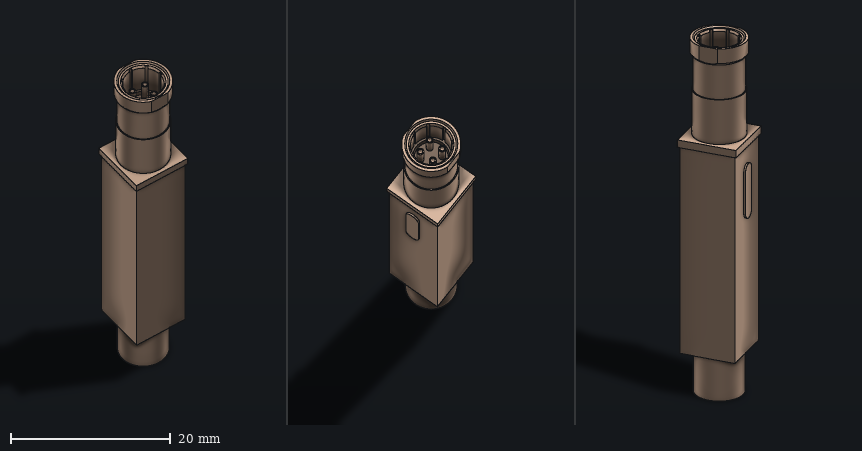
import cadquery as cq

total_height = 48.9
cable_length = 6.0
body_length = 28.55
flange_thickness = 1.05
sleeve_length = 6.15
collar_straight = 2.0
collar_taper = 0.4

body_width = 7.55
flange_width = 8.0
cable_radius = 3.3
sleeve_radius = 3.45
neck_radius = 3.33
collar_radius = 3.7
collar_flat_width = 7.0

mouth_radius = 3.33
mouth_step_radius = 3.15
mouth_step_depth = 0.2
insert_radius = 2.85
insert_taper_depth = 0.5
bore_radius = 2.6
bore_depth = 4.4
floor_rim_radius = 2.3
floor_radius = 2.15
floor_recess = 0.5

groove_count = 8
groove_width = 0.4
groove_reach = 2.8

contact_offset = 1.0
contact_radius = 0.45
contact_rim_radius = 0.3
contact_cup_depth = 0.3
contact_recess = 2.15

pad_length = 7.55
pad_width = 1.95
pad_top_below_flange = 2.45

body_top = cable_length + body_length
flange_top = body_top + flange_thickness
sleeve_top = flange_top + sleeve_length
collar_bottom = total_height - collar_straight
bore_floor = total_height - bore_depth
recess_floor = bore_floor - floor_recess


def square_block(width, bottom, height):
    return cq.Workplane("XY").workplane(offset=bottom).rect(width, width).extrude(height)


def revolved(profile):
    """Solid of revolution about Z from (radius, height) points."""
    return cq.Workplane("XZ").polyline(profile).close().revolve(360, (0, 0), (0, 1))


def make_housing():
    cable_end = cq.Workplane("XY").circle(cable_radius).extrude(cable_length)
    body = square_block(body_width, cable_length, body_length)
    flange = square_block(flange_width, body_top, flange_thickness)
    return cable_end.union(body).union(flange)


def make_plug():
    """Sleeve, neck and tapered collar, with two flats across X on the collar."""
    turned = revolved([
        (0, flange_top),
        (sleeve_radius, flange_top),
        (sleeve_radius, sleeve_top),
        (neck_radius, sleeve_top),
        (neck_radius, collar_bottom - collar_taper),
        (collar_radius, collar_bottom),
        (collar_radius, total_height),
        (0, total_height),
    ])
    plug_height = total_height - flange_top
    between_flats = (
        cq.Workplane("XY").workplane(offset=flange_top)
        .rect(collar_flat_width, 2 * collar_radius).extrude(plug_height)
    )
    return turned.intersect(between_flats)


def make_socket():
    """Space inside the plug: stepped mouth, bore, wall grooves and dished floor."""
    socket = revolved([
        (0, recess_floor),
        (floor_radius, recess_floor),
        (floor_rim_radius, bore_floor),
        (bore_radius, bore_floor),
        (bore_radius, total_height - insert_taper_depth),
        (insert_radius, total_height - mouth_step_depth),
        (mouth_step_radius, total_height - mouth_step_depth),
        (mouth_radius, total_height),
        (0, total_height),
    ])
    for index in range(groove_count):
        angle = index * 360 / groove_count
        groove = (
            cq.Workplane("XY").workplane(offset=bore_floor)
            .center(groove_reach / 2, 0).rect(groove_reach, groove_width).extrude(bore_depth)
            .rotate((0, 0, 0), (0, 0, 1), angle)
        )
        socket = socket.union(groove)
    return socket


def make_contacts():
    contact_top = total_height - contact_recess
    pin = revolved([
        (0, recess_floor),
        (contact_radius, recess_floor),
        (contact_radius, contact_top),
        (contact_rim_radius, contact_top),
        (0, contact_top - contact_cup_depth),
    ])
    contacts = cq.Workplane("XY")
    for x in (-contact_offset, contact_offset):
        for y in (-contact_offset, contact_offset):
            contacts = contacts.union(pin.translate((x, y, 0)))
    return contacts


def make_pad():
    """Round-ended pad standing as proud of the body as the flange edge."""
    pad_center = body_top - pad_top_below_flange - pad_length / 2
    return (
        cq.Workplane("XZ", origin=(0, body_width / 2, pad_center))
        .slot2D(pad_length, pad_width, 90)
        .extrude(-(flange_width - body_width) / 2)
    )


shell = make_housing().union(make_plug()).cut(make_socket())
result = shell.union(make_contacts()).union(make_pad())